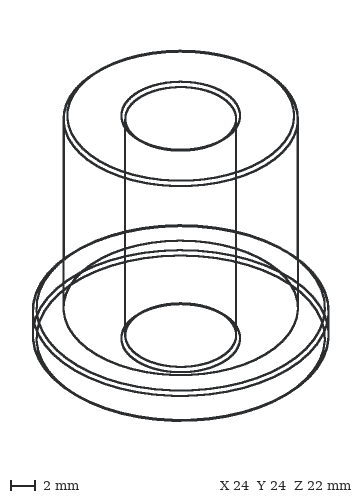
import cadquery as cq

flange_diameter = 24.0
flange_thickness = 3.0
body_diameter = 19.0
total_height = 22.0
bore_diameter = 9.0
edge_chamfer = 0.3


def chamfered_disc(diameter, height, chamfered_faces):
    """Upright cylinder on the XY plane with its chosen end edges chamfered."""
    disc = cq.Workplane("XY").circle(diameter / 2).extrude(height)
    return disc.faces(chamfered_faces).edges().chamfer(edge_chamfer)


flange = chamfered_disc(flange_diameter, flange_thickness, "|Z")
body = chamfered_disc(body_diameter, total_height, ">Z")

bore = cq.Workplane("XY").circle(bore_diameter / 2).extrude(total_height)
bore_edges = cq.selectors.RadiusNthSelector(0)
bushing = flange.union(body).cut(bore)
result = bushing.faces("<Z or >Z").edges(bore_edges).chamfer(edge_chamfer)